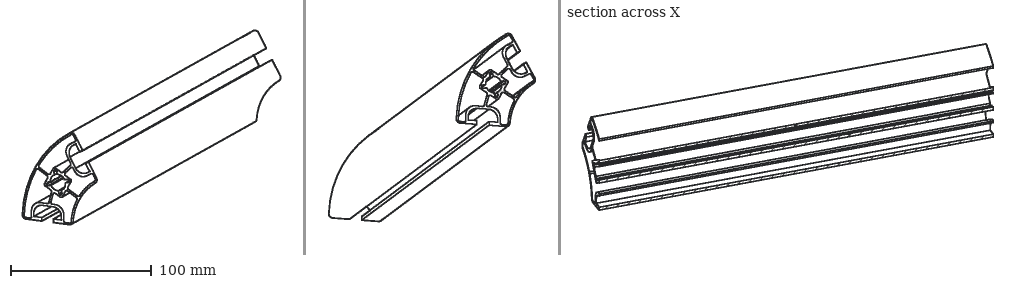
import cadquery as cq
import math

LENGTH = 300.0
BEND_ANGLE = 60.0
MIDDLE_RADIUS = 60.0
INNER_RADIUS = MIDDLE_RADIUS * 2 / 3
OUTER_RADIUS = 2 * INNER_RADIUS
CORNER_RADIUS = 3.0
CURVED_WALL = 1.5
FLAT_WALL = 1.2

SLOT_MOUTH = 9.0
SLOT_WIDTH = 22.0
SLOT_DEPTH = 11.7
SLOT_WALL = 1.8
SLOT_ROUND = 7.0
LIP_THICKNESS = 2.7

CORE_SIDE = 16.2
CORE_WALL = 1.5
BORE_RADIUS = 6.0
NOTCH_WIDTH = 2.5
NOTCH_ANGLE = 45.0

RIB_THICKNESS = 1.5
SLOT_RIB_ANGLE = 75.0

CAVITY_FILLET = 1.2


def prism(outline):
    """Extrude the pending outline over the full length."""
    return outline.extrude(-LENGTH)


def plane():
    """XZ sketch plane whose origin lies on the bend axis."""
    return cq.Workplane("XZ")


def turned(shape, angle):
    """Turn a shape from the lower end face towards the upper one."""
    return shape.rotate((0, 0, 0), (0, 1, 0), angle)


def mirrored_pair(shape):
    """The shape together with its mirror image across the middle of the bend."""
    upper = turned(shape.mirror("XY"), BEND_ANGLE)
    return shape.union(upper)


def polar(radius, angle):
    """Point at an angle up from the lower end face."""
    a = math.radians(angle)
    return (-radius * math.cos(a), radius * math.sin(a))


def sector(inner_radius, outer_radius, face_inset):
    """Ring sector whose flat faces are moved inwards by face_inset."""
    def corner(radius, upper):
        inset_angle = math.degrees(math.asin(face_inset / radius))
        return polar(radius, BEND_ANGLE - inset_angle if upper else inset_angle)

    outline = (
        plane()
        .moveTo(*corner(outer_radius, False))
        .threePointArc(polar(outer_radius, BEND_ANGLE / 2), corner(outer_radius, True))
        .lineTo(*corner(inner_radius, True))
        .threePointArc(polar(inner_radius, BEND_ANGLE / 2), corner(inner_radius, False))
        .close()
    )
    return prism(outline)


def slot_box(width, bottom, top):
    """Box centred on the lower T-slot, between two heights above the end face."""
    return prism(plane().center(-MIDDLE_RADIUS, (bottom + top) / 2).rect(width, top - bottom))


def round_top(box):
    """Round the two edges of a slot box that point into the profile."""
    return box.edges("|Y and >Z").fillet(SLOT_ROUND)


def slot_housing():
    """Unrounded block of wall around the lower T-slot."""
    return slot_box(SLOT_WIDTH + 2 * SLOT_WALL, 0, SLOT_DEPTH + SLOT_WALL)


def slot_shoulders():
    """The two corners taken off the housing by its rounding."""
    return slot_housing().cut(round_top(slot_housing()))


def slot_opening():
    chamber = round_top(slot_box(SLOT_WIDTH, LIP_THICKNESS, SLOT_DEPTH))
    return chamber.union(slot_box(SLOT_MOUTH, 0, SLOT_DEPTH))


def at_core(shape):
    """Move a shape built at the origin to the middle of the profile."""
    x, z = polar(MIDDLE_RADIUS, BEND_ANGLE / 2)
    return turned(shape, BEND_ANGLE / 2).translate((x, 0, z))


def core_opening():
    """Round bore with a notch running into each corner of the square core."""
    inner_side = CORE_SIDE - 2 * CORE_WALL
    notches = prism(plane().rect(NOTCH_WIDTH, 2 * inner_side))
    notches = notches.union(prism(plane().rect(2 * inner_side, NOTCH_WIDTH)))
    notches = turned(notches, NOTCH_ANGLE).intersect(prism(plane().rect(inner_side, inner_side)))
    return at_core(prism(plane().circle(BORE_RADIUS)).union(notches))


def core_block():
    return at_core(prism(plane().rect(CORE_SIDE, CORE_SIDE)))


def radial_rib():
    """Rib through the core, joining the inner and outer curved walls."""
    return at_core(prism(plane().rect(OUTER_RADIUS - INNER_RADIUS - CURVED_WALL, RIB_THICKNESS)))


def slot_rib():
    """Rib from the core's lower side down to the roof of the lower T-slot."""
    core_x, core_z = polar(MIDDLE_RADIUS, BEND_ANGLE / 2)
    side_direction = math.radians(90 - BEND_ANGLE / 2)
    start_x = core_x - CORE_SIDE / 2 * math.cos(side_direction)
    start_z = core_z - CORE_SIDE / 2 * math.sin(side_direction)
    drop = start_z - SLOT_DEPTH - SLOT_WALL
    length = drop / math.sin(math.radians(SLOT_RIB_ANGLE)) + 2 * RIB_THICKNESS
    rib = prism(plane().center(RIB_THICKNESS - length / 2, 0).rect(length, RIB_THICKNESS))
    return turned(rib, -SLOT_RIB_ANGLE).translate((start_x, 0, start_z))


def cavities():
    """Four closed chambers between the walls, with rounded corners."""
    inside = sector(INNER_RADIUS + CURVED_WALL, OUTER_RADIUS - CURVED_WALL, FLAT_WALL)
    solids = mirrored_pair(slot_housing()).union(core_block()).union(radial_rib())
    solids = solids.union(mirrored_pair(slot_rib()))
    chambers = inside.cut(solids).edges("|Y").fillet(CAVITY_FILLET)
    return chambers.union(mirrored_pair(slot_shoulders()))


outer_body = sector(INNER_RADIUS, OUTER_RADIUS, 0).edges("|Y").fillet(CORNER_RADIUS)
result = (
    outer_body
    .cut(cavities())
    .cut(mirrored_pair(slot_opening()))
    .cut(core_opening())
)